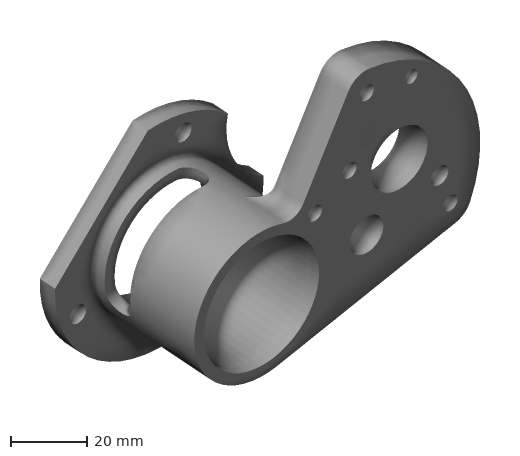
import cadquery as cq
import math

total_length = 45.9
flange_thickness = 6.0
plate_thickness = 11.0
plate_face_x = total_length - plate_thickness

tube_radius = 24.0
bore_radius = 20.4

flange_radius = 37.0
flange_flat_distance = 28.1
flange_flat_angle = 137.0
flange_fillet_radius = 1.0
flange_bolt_radius = 31.0
flange_hole_diameter = 6.0
flange_hole_angles = (74.1, 200.9, 281.1)

arc_center = (32.6, 13.4)
arc_radius = 45.1
corner_radius = 7.5
upper_corner_angle = 82.8
lower_corner_angle = -23.0
upper_side_normal_angle = 151.0
blend_radius = 6.0
root_fillet_radius = 5.0

hub_center = (48.9, 22.8)
hub_hole_diameter = 20.1
hub_clearance_radius = 25.0
screw_circle_radius = 30.0
screw_hole_diameter = 5.0
screw_hole_angles = (112.6, -52.7, 184.9)
other_plate_holes = (
    ((31.2, 28.1), 5.0),
    ((53.1, 47.8), 4.5),
    ((63.2, 10.0), 6.2),
    ((37.3, 3.7), 11.9),
)

window_x = 16.0
window_width = 10.0
window_end_span = 103.0
window_inner_reach = 11.5
window_outer_reach = 28.7


def polar(center, radius, angle):
    """Point in the YZ plane at a radius and an angle (degrees) from a center."""
    turn = math.radians(angle)
    return (center[0] + radius * math.cos(turn), center[1] + radius * math.sin(turn))


def direction(start, end):
    """Angle in degrees of the line from start to end."""
    return math.degrees(math.atan2(end[1] - start[1], end[0] - start[0]))


def disc(center, radius, start_x, length):
    """Cylinder along X."""
    return cq.Workplane("YZ", origin=(start_x, 0, 0)).center(*center).circle(radius).extrude(length)


axis = (0.0, 0.0)


def make_flange():
    flange = disc(axis, flange_radius, 0, flange_thickness)
    flat_cutter = (
        cq.Workplane("YZ")
        .rect(flange_radius, 2 * flange_radius)
        .extrude(flange_thickness)
        .translate((0, flange_flat_distance + flange_radius / 2, 0))
        .rotate((0, 0, 0), (1, 0, 0), flange_flat_angle)
    )
    flange = flange.cut(flat_cutter)
    flange = flange.cut(disc(hub_center, hub_clearance_radius, 0, flange_thickness))
    for angle in flange_hole_angles:
        center = polar(axis, flange_bolt_radius, angle)
        flange = flange.cut(disc(center, flange_hole_diameter / 2, 0, flange_thickness))
    return flange


def make_root_ring(face_x, radius, side):
    """Concave fillet ring around the tube; side is the X direction it tapers in."""
    middle = radius * (1 - math.sqrt(0.5))
    inner = bore_radius
    return (
        cq.Workplane("XY")
        .moveTo(face_x, inner)
        .lineTo(face_x, tube_radius + radius)
        .threePointArc(
            (face_x + side * middle, tube_radius + middle),
            (face_x + side * radius, tube_radius),
        )
        .lineTo(face_x + side * radius, inner)
        .close()
        .revolve(360, (0, 0, 0), (1, 0, 0))
    )


def make_plate_blank(start_x):
    """Plate outline extruded from start_x to the far end of the part."""
    upper_corner = polar(arc_center, arc_radius - corner_radius, upper_corner_angle)
    lower_corner = polar(arc_center, arc_radius - corner_radius, lower_corner_angle)

    corner_distance = math.hypot(*lower_corner)
    tangent_turn = math.degrees(math.acos((tube_radius - corner_radius) / corner_distance))
    lower_normal_angle = direction(axis, lower_corner) - tangent_turn

    normal = polar(axis, 1, upper_side_normal_angle)
    side_distance = normal[0] * upper_corner[0] + normal[1] * upper_corner[1] + corner_radius
    blend_distance = tube_radius + blend_radius
    blend_turn = math.degrees(math.acos((side_distance + blend_radius) / blend_distance))
    blend_angle = upper_side_normal_angle - blend_turn
    blend_center = polar(axis, blend_distance, blend_angle)
    blend_start_angle = upper_side_normal_angle + 180
    blend_end_angle = blend_angle + 180

    return (
        cq.Workplane("YZ", origin=(start_x, 0, 0))
        .moveTo(*polar(axis, tube_radius, lower_normal_angle))
        .lineTo(*polar(lower_corner, corner_radius, lower_normal_angle))
        .threePointArc(
            polar(lower_corner, corner_radius, (lower_normal_angle + lower_corner_angle) / 2),
            polar(arc_center, arc_radius, lower_corner_angle),
        )
        .threePointArc(
            polar(arc_center, arc_radius, (lower_corner_angle + upper_corner_angle) / 2),
            polar(arc_center, arc_radius, upper_corner_angle),
        )
        .threePointArc(
            polar(upper_corner, corner_radius, (upper_corner_angle + upper_side_normal_angle) / 2),
            polar(upper_corner, corner_radius, upper_side_normal_angle),
        )
        .lineTo(*polar(blend_center, blend_radius, blend_start_angle))
        .threePointArc(
            polar(blend_center, blend_radius, (blend_start_angle + blend_end_angle) / 2),
            polar(blend_center, blend_radius, blend_end_angle),
        )
        .close()
        .extrude(total_length - start_x)
    )


def make_plate_hole_cutters():
    holes = list(other_plate_holes)
    holes.append((hub_center, hub_hole_diameter))
    for angle in screw_hole_angles:
        center = polar(hub_center, screw_circle_radius, angle)
        holes.append((center, screw_hole_diameter))
    start_x = plate_face_x - root_fillet_radius
    cutters = cq.Workplane("YZ")
    for center, diameter in holes:
        cutters = cutters.add(disc(center, diameter / 2, start_x, total_length - start_x))
    return cutters.combine()


def make_window_cutter():
    """Slot wrapped around the tube wall, facing the same way as the flange flat."""
    start_angle = flange_flat_angle - window_end_span / 2
    depth = window_outer_reach - window_inner_reach
    cutter = (
        cq.Workplane("XY")
        .center(window_x, window_inner_reach + depth / 2)
        .rect(window_width, depth)
        .revolve(window_end_span, (0, -window_inner_reach - depth / 2, 0),
                 (1, -window_inner_reach - depth / 2, 0))
        .rotate((0, 0, 0), (1, 0, 0), start_angle)
    )
    for angle in (start_angle, start_angle + window_end_span):
        rounded_end = (
            cq.Workplane("XZ", origin=(window_x, window_inner_reach, 0))
            .circle(window_width / 2)
            .extrude(-depth)
            .rotate((0, 0, 0), (1, 0, 0), angle)
        )
        cutter = cutter.union(rounded_end)
    return cutter


tube = disc(axis, tube_radius, 0, total_length)
flange_root = make_root_ring(flange_thickness, flange_fillet_radius, 1)
plate_root = make_root_ring(plate_face_x, root_fillet_radius, -1).intersect(
    make_plate_blank(plate_face_x - root_fillet_radius)
)

body = tube.union(make_flange()).union(flange_root)
body = body.union(make_plate_blank(plate_face_x)).union(plate_root)
body = body.cut(disc(axis, bore_radius, 0, total_length))
body = body.cut(make_plate_hole_cutters())
result = body.cut(make_window_cutter())